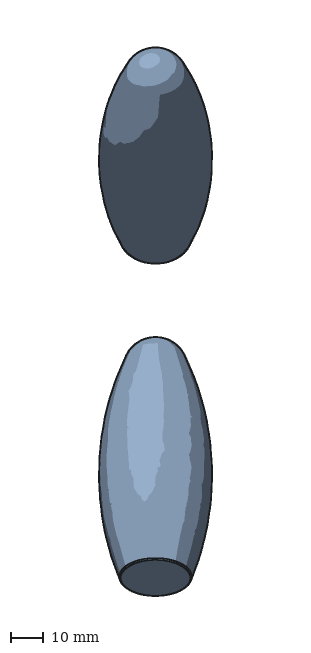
import cadquery as cq
import math

height = 85.0
belly_radius = 17.4
belly_height = 38.7
base_radius = 11.1
base_chamfer = 0.4
seam_height = 78.8
seam_radius = 9.3

cap_height = height - seam_height
dome_radius = (seam_radius**2 + cap_height**2) / (2 * cap_height)
dome_center_height = height - dome_radius

half_cap_angle = math.atan2(seam_radius, seam_height - dome_center_height) / 2
shoulder_radius = dome_radius * math.sin(half_cap_angle)
shoulder_height = dome_center_height + dome_radius * math.cos(half_cap_angle)

profile = (
    cq.Workplane("XZ")
    .lineTo(base_radius - base_chamfer, 0)
    .lineTo(base_radius, base_chamfer)
    .threePointArc((belly_radius, belly_height), (seam_radius, seam_height))
    .threePointArc((shoulder_radius, shoulder_height), (0, height))
    .close()
)

result = profile.revolve(360, (0, 0, 0), (0, 1, 0))